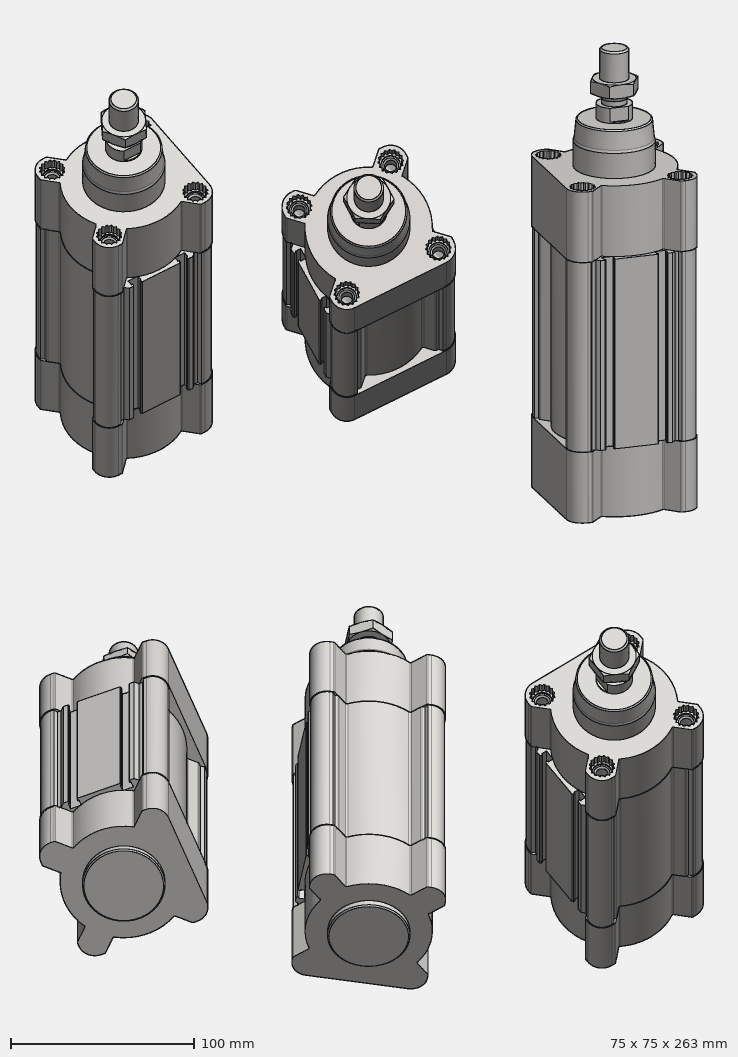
import cadquery as cq
import math

total_height = 263.0
rear_boss_height = 4.2
cover_height = 40.8
barrel_height = 109.5
front_boss_height = 27.4
barrel_bottom = rear_boss_height + cover_height
barrel_top = barrel_bottom + barrel_height
cover_top = barrel_top + cover_height
front_boss_top = cover_top + front_boss_height

cover_half_width = 37.5
barrel_side_inset = 0.5
barrel_half_width = cover_half_width - barrel_side_inset
cover_waist_radius = 34.7
barrel_setback = 0.3
screw_offset = 28.2
cover_wall_offset = 11.8
post_edge_radius = 1.0
barrel_waist_radius = cover_waist_radius - barrel_setback
barrel_wall_offset = cover_wall_offset + barrel_setback
cover_root_radius = 0.65
barrel_root_radius = 1.3
edge_match_tolerance = 0.003

groove_floor_start = 23.0
groove_floor_end = 25.0
groove_floor = groove_floor_start + barrel_wall_offset
groove_lip = 26.3
groove_cut_margin = 2.5

slot_center = 15.3
slot_mouth_width = 4.7
slot_inner_width = 6.3
slot_flare = 0.5
slot_lip = 1.5
slot_depth = 4.7
rail_edge = 20.8
rail_bevel = 4.0

boss_diameter = 45.0
boss_shoulder_height = 14.5
boss_shoulder_bevel = 1.5
collar_base_diameter = 44.0
collar_top_diameter = 41.8
boss_edge = 0.8

socket_tip_diameter = 14.0
socket_root_diameter = 12.0
socket_teeth = 16
socket_depth = 5.8
floor_bore_diameter = 10.5
floor_bore_depth = 1.0
countersink_diameter = 8.7
screw_hole_diameter = 6.5
screw_hole_depth = 8.0
drill_tip_angle = 118.0

rod_diameter = 20.0
rod_flat_width = 16.8
thread_diameter = 16.0
neck_diameter = 14.0
thread_end_chamfer = 1.0
rod_end_length = 31.8
flats_length = 8.0
neck_length = 3.0
neck_cone_length = 2.5
shoulder_z = total_height - rod_end_length
flats_bottom = shoulder_z - flats_length
neck_top = shoulder_z + neck_length
thread_bottom = neck_top + neck_cone_length
rod_bottom = barrel_top

nut_sides = 6
nut_across_flats = 24.0
nut_height = 8.0
rod_end_exposed = 17.5
nut_top = total_height - rod_end_exposed
nut_chamfer_angle = 20.0


def corner_post(sx, sy, half_width, wall_offset, height):
    """Corner column with a rounded outer edge and two diagonal walls running to the axis."""
    wall_end = half_width - wall_offset
    reach = half_width - screw_offset
    arc_mid = screw_offset + reach * math.sqrt(0.5)
    outline = (
        cq.Workplane("XY")
        .moveTo(0, 0)
        .lineTo(sx * wall_offset, 0)
        .lineTo(sx * half_width, sy * wall_end)
        .lineTo(sx * half_width, sy * screw_offset)
        .threePointArc((sx * arc_mid, sy * arc_mid), (sx * screw_offset, sy * half_width))
        .lineTo(sx * wall_end, sy * half_width)
        .lineTo(0, sy * wall_offset)
        .close()
    )
    return outline.extrude(height)


def edges_at(body, x, y):
    """Vertical edges at the four mirrored copies of the point (x, y) and of (y, x)."""
    def matches(edge):
        c = edge.Center()
        near = sorted((abs(c.x), abs(c.y)))
        return edge.geomType() == "LINE" and math.dist(near, sorted((x, y))) < edge_match_tolerance
    return body.edges("|Z").filter(matches)


def post_root(radius, wall_offset):
    """Distances from the axis, along and across, where a post wall meets the waist cylinder."""
    across = (math.sqrt(2 * radius**2 - wall_offset**2) - wall_offset) / 2
    return across, across + wall_offset


def cross_section(half_width, radius, wall_offset, root_radius, height):
    """Round waist with four corner posts, its wall roots rounded."""
    body = cq.Workplane("XY").circle(radius).extrude(height)
    for sx in (-1, 1):
        for sy in (-1, 1):
            body = body.union(corner_post(sx, sy, half_width, wall_offset, height))
    return edges_at(body, *post_root(radius, wall_offset)).fillet(root_radius)


def end_cover(bottom):
    """End cover: waisted on three sides, flat on the +Y side."""
    body = cross_section(
        cover_half_width, cover_waist_radius, cover_wall_offset, cover_root_radius, cover_height
    )
    body = edges_at(body, cover_half_width - cover_wall_offset, cover_half_width).fillet(post_edge_radius)
    flat_side = (
        cq.Workplane("XY")
        .rect(2 * screw_offset, cover_half_width)
        .extrude(cover_height)
        .translate((0, cover_half_width / 2, 0))
    )
    return body.union(flat_side).translate((0, 0, bottom))


def post_groove(sx, sy, along_y):
    """Cutter for the groove beside a corner post, on its X side or, if along_y, on its Y side."""
    clear_of_post = barrel_half_width + groove_cut_margin
    lip_slope = (groove_lip - groove_floor_end) / (barrel_half_width - groove_floor)
    lip_run_out = groove_lip + lip_slope * groove_cut_margin
    profile = [
        (groove_floor, groove_floor_start),
        (groove_floor, groove_floor_end),
        (clear_of_post, lip_run_out),
        (clear_of_post, groove_floor_start),
    ]
    if along_y:
        profile = [(y, x) for x, y in profile]
    points = [(sx * x, sy * y) for x, y in profile]
    return cq.Workplane("XY").polyline(points).close().extrude(barrel_height)


def sensor_rail(side):
    """Flat rail with 45-degree edges on one X side of the barrel."""
    root_x = side * (barrel_half_width - rail_bevel)
    face_x = side * barrel_half_width
    root_edge = rail_edge + rail_bevel
    return (
        cq.Workplane("XY")
        .polyline([
            (0, -root_edge),
            (root_x, -root_edge),
            (face_x, -rail_edge),
            (face_x, rail_edge),
            (root_x, root_edge),
            (0, root_edge),
        ])
        .close()
        .extrude(barrel_height)
    )


def t_slots(side):
    """Cutter for the two T-slots of one rail, their mouths flared at the surface."""
    half_mouth = slot_mouth_width / 2
    half_flare = half_mouth + slot_flare
    half_inner = slot_inner_width / 2
    flare_x = barrel_half_width - slot_flare
    lip_x = barrel_half_width - slot_lip
    floor_x = barrel_half_width - slot_depth
    half_outline = [
        (barrel_half_width, half_flare),
        (flare_x, half_mouth),
        (lip_x, half_mouth),
        (lip_x, half_inner),
        (floor_x, half_inner),
    ]
    outline = half_outline + [(x, -y) for x, y in reversed(half_outline)]
    slots = cq.Workplane("XY")
    for center in (-slot_center, slot_center):
        points = [(side * x, center + y) for x, y in outline]
        slots = slots.add(cq.Workplane("XY").polyline(points).close().extrude(barrel_height))
    return slots.combine()


def barrel():
    """Extruded profile between the covers."""
    body = cross_section(
        barrel_half_width, barrel_waist_radius, barrel_wall_offset, barrel_root_radius, barrel_height
    )
    for sx in (-1, 1):
        for sy in (-1, 1):
            for along_y in (False, True):
                body = body.cut(post_groove(sx, sy, along_y))
    body = edges_at(body, groove_floor_start, groove_floor).fillet(post_edge_radius)
    for side in (-1, 1):
        body = body.union(sensor_rail(side)).cut(t_slots(side))
    return body.translate((0, 0, barrel_bottom))


def rear_boss():
    boss = cq.Workplane("XY").circle(boss_diameter / 2).extrude(rear_boss_height)
    return boss.faces("<Z").chamfer(boss_edge)


def front_boss():
    """Stepped boss: cylinder, bevelled shoulder and slightly tapered collar."""
    boss_radius = boss_diameter / 2
    shoulder = cover_top + boss_shoulder_height
    collar_base = shoulder + boss_shoulder_bevel
    return (
        cq.Workplane("XZ")
        .polyline([
            (0, cover_top),
            (boss_radius, cover_top),
            (boss_radius, shoulder),
            (collar_base_diameter / 2, collar_base),
            (collar_top_diameter / 2, front_boss_top - boss_edge),
            (collar_top_diameter / 2 - boss_edge, front_boss_top),
            (0, front_boss_top),
        ])
        .close()
        .revolve(360, (0, 0), (0, 1))
    )


def screw_socket():
    """Cutter for one splined screw socket with a drilled hole in its floor."""
    points = []
    for i in range(2 * socket_teeth):
        angle = math.pi * i / socket_teeth
        radius = (socket_tip_diameter if i % 2 == 0 else socket_root_diameter) / 2
        points.append((radius * math.cos(angle), radius * math.sin(angle)))
    socket = cq.Workplane("XY").polyline(points).close().extrude(-socket_depth)
    floor_bore_radius = floor_bore_diameter / 2
    countersink_radius = countersink_diameter / 2
    hole_radius = screw_hole_diameter / 2
    countersink_drop = countersink_radius - hole_radius
    floor_z = -socket_depth - floor_bore_depth
    hole_bottom = floor_z - screw_hole_depth
    tip_length = hole_radius / math.tan(math.radians(drill_tip_angle / 2))
    hole = (
        cq.Workplane("XZ")
        .polyline([
            (0, 0),
            (floor_bore_radius, 0),
            (floor_bore_radius, floor_z),
            (countersink_radius, floor_z),
            (hole_radius, floor_z - countersink_drop),
            (hole_radius, hole_bottom),
            (0, hole_bottom - tip_length),
        ])
        .close()
        .revolve(360, (0, 0), (0, 1))
    )
    return socket.union(hole)


def cylinder_housing():
    """Covers, barrel and bosses in one piece, bored for the rod."""
    body = barrel().union(end_cover(rear_boss_height)).union(end_cover(barrel_top))
    body = body.union(rear_boss()).union(front_boss())
    rod_bore = (
        cq.Workplane("XY")
        .workplane(offset=rod_bottom)
        .circle(rod_diameter / 2)
        .extrude(front_boss_top - rod_bottom)
    )
    body = body.cut(rod_bore)
    for x in (-screw_offset, screw_offset):
        for y in (-screw_offset, screw_offset):
            body = body.cut(screw_socket().translate((x, y, cover_top)))
    return body


def piston_rod():
    """Rod with two wrench flats, a relief neck and a threaded end."""
    rod_radius = rod_diameter / 2
    thread_radius = thread_diameter / 2
    neck_radius = neck_diameter / 2
    rod = (
        cq.Workplane("XZ")
        .polyline([
            (0, rod_bottom),
            (rod_radius, rod_bottom),
            (rod_radius, shoulder_z),
            (neck_radius, shoulder_z),
            (neck_radius, neck_top),
            (thread_radius, thread_bottom),
            (thread_radius, total_height - thread_end_chamfer),
            (thread_radius - thread_end_chamfer, total_height),
            (0, total_height),
        ])
        .close()
        .revolve(360, (0, 0), (0, 1))
    )
    flat_depth = rod_radius - rod_flat_width / 2
    flat_x = rod_flat_width / 2 + flat_depth / 2
    flats = (
        cq.Workplane("XY")
        .workplane(offset=flats_bottom)
        .pushPoints([(-flat_x, 0), (flat_x, 0)])
        .rect(flat_depth, rod_diameter)
        .extrude(flats_length)
    )
    return rod.cut(flats)


def lock_nut():
    """Hexagon nut with flats facing X and both ends chamfered to a circle."""
    half_side_angle = math.pi / nut_sides
    corner_diameter = nut_across_flats / math.cos(half_side_angle)
    corner_radius = corner_diameter / 2
    face_radius = nut_across_flats / 2
    drop = (corner_radius - face_radius) * math.tan(math.radians(nut_chamfer_angle))
    hexagon = (
        cq.Workplane("XY")
        .polygon(nut_sides, corner_diameter)
        .extrude(nut_height)
        .rotate((0, 0, 0), (0, 0, 1), math.degrees(half_side_angle))
    )
    envelope = (
        cq.Workplane("XZ")
        .polyline([
            (0, 0),
            (face_radius, 0),
            (corner_radius, drop),
            (corner_radius, nut_height - drop),
            (face_radius, nut_height),
            (0, nut_height),
        ])
        .close()
        .revolve(360, (0, 0), (0, 1))
    )
    threaded_hole = cq.Workplane("XY").circle(thread_diameter / 2).extrude(nut_height)
    nut = hexagon.intersect(envelope).cut(threaded_hole)
    return nut.translate((0, 0, nut_top - nut_height))


housing = cylinder_housing()
rod = piston_rod()
nut = lock_nut()

result = cq.Compound.makeCompound([housing.val(), rod.val(), nut.val()])